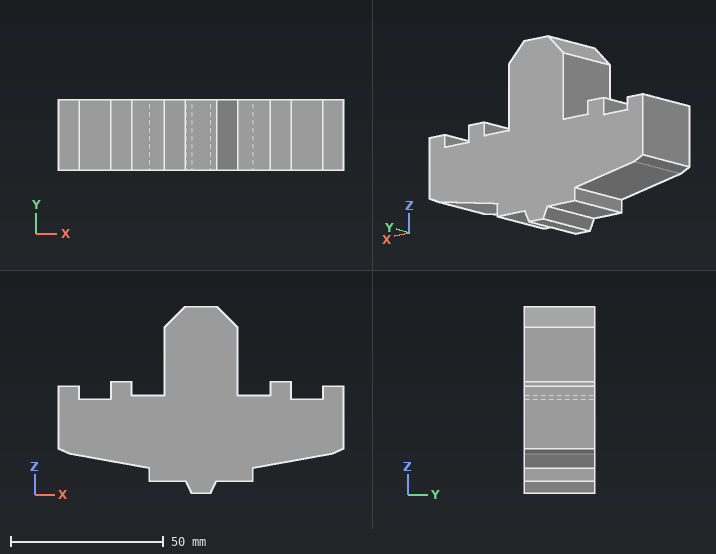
import cadquery as cq

length = 93.3
thickness = 23.0
height = 61.1

half_length = length / 2
tower_half = 11.9
tower_top_half = 5.2
inner_lug_near = 22.7
lug_width = 6.8
inner_lug_far = inner_lug_near + lug_width
end_lug_near = half_length - lug_width
end_bevel_half = 42.9
foot_half = 17.0
key_root_half = 4.9
key_tip_half = 3.1

foot_bottom = 3.9
foot_top = 8.3
end_bevel_bottom = 13.0
end_bevel_top = 14.65
groove_floor = 30.9
shoulder_floor = 32.1
end_lug_top = 35.1
inner_lug_top = 36.6
tower_bevel_bottom = 54.4

right_half = [
    (key_tip_half, 0),
    (key_root_half, foot_bottom),
    (foot_half, foot_bottom),
    (foot_half, foot_top),
    (end_bevel_half, end_bevel_bottom),
    (half_length, end_bevel_top),
    (half_length, end_lug_top),
    (end_lug_near, end_lug_top),
    (end_lug_near, groove_floor),
    (inner_lug_far, groove_floor),
    (inner_lug_far, inner_lug_top),
    (inner_lug_near, inner_lug_top),
    (inner_lug_near, shoulder_floor),
    (tower_half, shoulder_floor),
    (tower_half, tower_bevel_bottom),
    (tower_top_half, height),
]
left_half = [(-x, z) for x, z in reversed(right_half)]

result = (
    cq.Workplane("XZ")
    .polyline(right_half + left_half)
    .close()
    .extrude(thickness / 2, both=True)
)